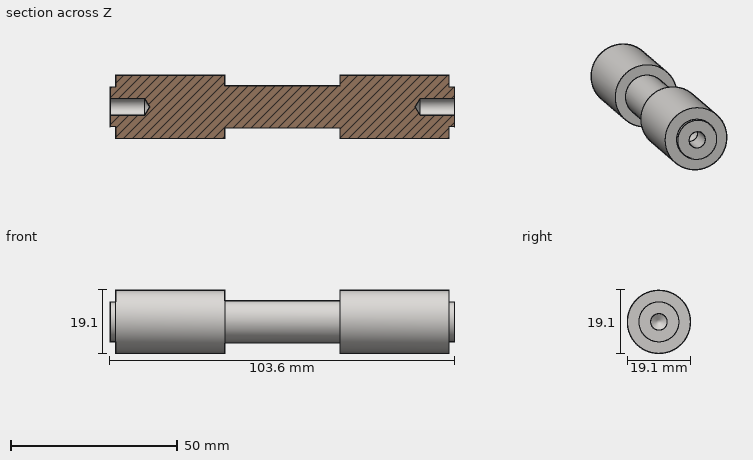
import cadquery as cq
import math

length = 103.6
roller_diameter = 19.1
roller_length = 32.8
journal_diameter = 12.0
journal_length = 1.7
shaft_diameter = 12.7

hole_diameter = 5.0
hole_depth = 10.4
drill_point_angle = 118.0


def cylinder(diameter, start, size):
    """Cylinder on the X axis, starting at x = start."""
    return cq.Workplane("YZ", origin=(start, 0, 0)).circle(diameter / 2).extrude(size)


def end_hole():
    """Drilled hole with a conical bottom, entering the -X end face."""
    radius = hole_diameter / 2
    tip_depth = hole_depth + radius / math.tan(math.radians(drill_point_angle / 2))
    return (
        cq.Workplane("XY", origin=(-length / 2, 0, 0))
        .polyline([(0, 0), (0, radius), (hole_depth, radius), (tip_depth, 0)])
        .close()
        .revolve(360, (0, 0, 0), (1, 0, 0))
    )


roller_start = -length / 2 + journal_length
shaft_start = roller_start + roller_length
half = (
    cylinder(journal_diameter, -length / 2, journal_length)
    .union(cylinder(roller_diameter, roller_start, roller_length))
    .union(cylinder(shaft_diameter, shaft_start, -shaft_start))
    .cut(end_hole())
)

result = half.union(half.mirror("YZ"))